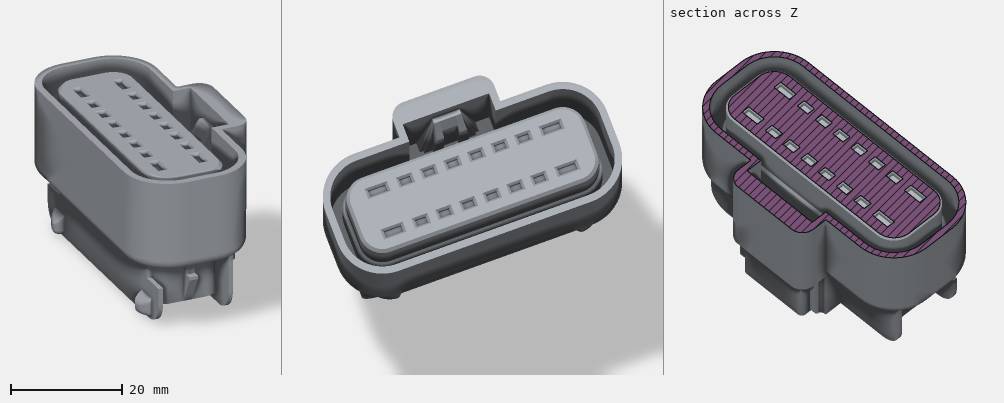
import cadquery as cq

height = 29.3
shell_length = 53.95
shell_width = 23.25
shell_radius = 8.5
shell_bottom = 11.75
shell_bottom_fillet = 1.95
wall = 1.35
floor_top = shell_bottom + wall

tab_width = 19.3
overall_width = 29.2
tab_back = overall_width - shell_width / 2
tab_radius = 2.8
notch_width = 16.55
notch_back = 13.7

plug_inset = 4.25
plug_top = 28.3
plug_chamfer = 0.6
seal_inset = 3.55
seal_top = 21.6
seal_chamfer = 0.2
seat_steps = [(2.2, 15.1), (2.55, 16.2)]

row_offset = 4.05
contact_pitch = 4.55
narrow_count = 6
end_contact_x = 16.65
narrow_opening = 3.0
wide_opening = 4.3
opening_width = 2.0
funnel_depth = 0.5
funnel_inset_x = 0.5
funnel_inset_y = 0.4
contact_depth = 1.2

core_length = 41.0
core_bottom = 2.3
core_radius = 2.95
plate_length = 47.95
plate_inner = 6.5
plate_thickness = 0.85
plate_outer = plate_inner + plate_thickness
plate_radius = 4.1
plate_notch_length = 5.0
plate_notch_bottom = 7.5

ramp_width = 1.65
ramp_root_x = 21.65
ramp_tip_x = 23.15
ramp_ledge = 8.15
ramp_slope_top = 7.5

hook_inner_x = 16.65
hook_outer_x = 20.95
hook_tip_radius = 1.25
hook_middle_x = 19.35
hook_middle_reach = 1.4
hook_reach = 1.8
hook_outer_reach = 0.4
hook_bottom = 0.5
hook_top = 4.2
hook_slope_end = 2.65
hook_fillet = 0.9
hook_top_fillet = 0.85

guard_thickness = 1.35
guard_bottom = 0.85
guard_back = 14.25
guard_chamfer = 2.65
recess_back = 13.45
recess_depth = 0.55
lever_width = 15.1
lever_inner = 12.45
lever_bottom = 1.65
lever_grip_top = 7.6
lever_back = 15.6
lever_head_back = 15.75
lever_head_step = 8.95
lever_radius = 0.95

latch_top = 25.85
latch_half_top = 2.6
latch_base_half = 5.65
latch_base_front = 11.9
latch_back_ridge = 13.1
latch_mid_half = 4.95
latch_mid_front = 11.45
latch_front_top = 12.8
prong_front = 10.6
prong_slope_end = 22.1
prong_half = 2.9
prong_base_half = 3.4
channel_half = 1.485
channel_front = 11.6
channel_slope_end = 23.4


def rounded_block(inset, bottom, top):
    """Block with the rounded shell outline, moved inwards by `inset`."""
    return (
        cq.Workplane("XY", origin=(0, 0, bottom))
        .rect(shell_length - 2 * inset, shell_width - 2 * inset)
        .extrude(top - bottom)
        .edges("|Z").fillet(shell_radius - inset)
    )


def box(x0, x1, y0, y1, z0, z1):
    return cq.Workplane("XY").box(x1 - x0, y1 - y0, z1 - z0, centered=False).translate((x0, y0, z0))


def side_profile(points, x0, x1):
    """Prism along X with a profile given as (y, z) points."""
    return cq.Workplane("YZ", origin=(x0, 0, 0)).polyline(points).close().extrude(x1 - x0)


def mirrored_x(solid):
    return solid.union(solid.mirror("YZ"))


def shell():
    body = rounded_block(0, shell_bottom, height).faces("<Z").edges().fillet(shell_bottom_fillet)
    half = tab_width / 2
    housing = box(-half, half, 0, tab_back, shell_bottom, height)
    housing = housing.edges("|Z and >Y").fillet(tab_radius)
    notch = box(-notch_width / 2, notch_width / 2, 0, notch_back, floor_top, height)
    cavity = rounded_block(wall, floor_top, height)
    return body.union(housing).cut(cavity).cut(notch)


def plug():
    body = rounded_block(plug_inset, floor_top, plug_top).faces(">Z").edges().chamfer(plug_chamfer)
    seal = rounded_block(seal_inset, floor_top, seal_top).faces(">Z").edges().chamfer(seal_chamfer)
    body = body.union(seal)
    for inset, top in seat_steps:
        body = body.union(rounded_block(inset, floor_top, top))
    return body


def contact_opening(x, y, length):
    """Funnel that leads into a blind rectangular hole."""
    hole_length = length - 2 * funnel_inset_x
    hole_width = opening_width - 2 * funnel_inset_y
    funnel = (
        cq.Workplane("XY", origin=(x, y, plug_top))
        .rect(length, opening_width)
        .workplane(offset=-funnel_depth)
        .rect(hole_length, hole_width)
        .loft(ruled=True)
    )
    hole = (
        cq.Workplane("XY", origin=(x, y, plug_top - contact_depth))
        .rect(hole_length, hole_width)
        .extrude(contact_depth - funnel_depth)
    )
    return funnel.union(hole)


def flare(half_base, front_base, front_top):
    """Tongue part that widens from the latch top down to the cavity floor."""

    def section(half, front):
        return [(-half, front), (half, front), (half, notch_back), (-half, notch_back)]

    return (
        cq.Workplane("XY", origin=(0, 0, floor_top))
        .polyline(section(half_base, front_base)).close()
        .workplane(offset=latch_top - floor_top)
        .polyline(section(latch_half_top, front_top)).close()
        .loft(ruled=True)
    )


def latch():
    tongue = flare(latch_base_half, latch_base_front, latch_back_ridge)
    tongue = tongue.union(flare(latch_mid_half, latch_mid_front, latch_front_top))

    def front_profile(front, slope_end):
        return [
            (notch_back, floor_top),
            (front, floor_top),
            (front, slope_end),
            (latch_front_top, latch_top),
            (notch_back, latch_top),
        ]

    prong_outline = (
        cq.Workplane("XZ", origin=(0, notch_back, 0))
        .polyline([
            (-prong_base_half, floor_top),
            (prong_base_half, floor_top),
            (prong_half, prong_slope_end),
            (latch_half_top, latch_top),
            (-latch_half_top, latch_top),
            (-prong_half, prong_slope_end),
        ])
        .close()
        .extrude(notch_back - prong_front)
    )
    prong_profile = front_profile(prong_front, prong_slope_end)
    prongs = side_profile(prong_profile, -prong_base_half, prong_base_half).intersect(prong_outline)
    channel = box(-channel_half, channel_half, prong_front, notch_back, floor_top, latch_top)
    channel_floor = front_profile(channel_front, channel_slope_end)
    channel = channel.cut(side_profile(channel_floor, -channel_half, channel_half))
    return tongue.union(prongs).cut(channel)


def core():
    return (
        cq.Workplane("XY", origin=(0, 0, core_bottom))
        .rect(core_length, 2 * plate_inner)
        .extrude(floor_top - core_bottom)
        .edges("|Z").fillet(core_radius)
    )


def ramps():
    core_end = core_length / 2
    profile = [
        (0, core_bottom),
        (core_end, core_bottom),
        (ramp_tip_x, ramp_slope_top),
        (ramp_tip_x, ramp_ledge),
        (ramp_root_x, ramp_ledge),
        (ramp_root_x, floor_top),
        (0, floor_top),
    ]
    ramp = cq.Workplane("XZ").polyline(profile).close().extrude(ramp_width / 2, both=True)
    return mirrored_x(ramp)


def plates():
    half = plate_length / 2
    back = box(-half, half, plate_inner, plate_outer, 0, floor_top)
    back = back.edges("|Y and <Z").fillet(plate_radius)
    front = back.mirror("XZ")
    notch = box(half - plate_notch_length, half, -plate_outer, -plate_inner, plate_notch_bottom, shell_bottom)
    return back.union(front.cut(mirrored_x(notch)))


def hooks():
    face = -plate_outer
    block = (
        cq.Workplane("XY", origin=(0, 0, hook_bottom))
        .moveTo(hook_inner_x, -plate_inner)
        .lineTo(hook_inner_x, face - hook_reach + hook_tip_radius)
        .radiusArc((hook_inner_x + hook_tip_radius, face - hook_reach), -hook_tip_radius)
        .threePointArc((hook_middle_x, face - hook_middle_reach), (hook_outer_x, face - hook_outer_reach))
        .lineTo(hook_outer_x, -plate_inner)
        .close()
        .extrude(hook_top - hook_bottom)
    )
    block = block.faces("<Z").edges("not >Y").fillet(hook_fillet)
    above_slope = side_profile(
        [(face, hook_top), (face - hook_reach, hook_slope_end), (face - hook_reach, hook_top)],
        hook_inner_x,
        hook_outer_x,
    )
    hook = block.cut(above_slope)
    outer_top_edge = cq.NearestToPointSelector((hook_middle_x, face - hook_middle_reach, hook_slope_end))
    hook = hook.edges(outer_top_edge).fillet(hook_top_fillet)
    return mirrored_x(hook)


def guards():
    half = tab_width / 2
    profile = [
        (plate_inner, guard_bottom),
        (guard_back - guard_chamfer, guard_bottom),
        (guard_back, guard_bottom + guard_chamfer),
        (guard_back, floor_top),
        (plate_inner, floor_top),
    ]
    guard = side_profile(profile, half - guard_thickness, half)
    recess_front = guard_back - guard_chamfer
    recess = box(half - recess_depth, half, recess_front, recess_back, guard_bottom, shell_bottom)
    return mirrored_x(guard.cut(recess))


def lever():
    half = lever_width / 2
    grip = box(-half, half, lever_inner, lever_back, lever_bottom, lever_grip_top)
    grip = grip.edges("|Z and >Y").fillet(lever_radius)
    head = side_profile(
        [
            (lever_inner, lever_grip_top),
            (lever_back, lever_grip_top),
            (lever_back, lever_head_step),
            (lever_head_back, lever_head_step),
            (lever_head_back, floor_top),
            (lever_inner, floor_top),
        ],
        -half,
        half,
    )
    return grip.union(head)


narrow_places = [(i - (narrow_count - 1) / 2) * contact_pitch for i in range(narrow_count)]
contacts = [(x, narrow_opening) for x in narrow_places]
contacts += [(x, wide_opening) for x in (-end_contact_x, end_contact_x)]

result = shell().union(plug()).union(latch()).union(core()).union(ramps())
result = result.union(plates()).union(hooks()).union(guards()).union(lever())
for row_y in (-row_offset, row_offset):
    for contact_x, length in contacts:
        result = result.cut(contact_opening(contact_x, row_y, length))